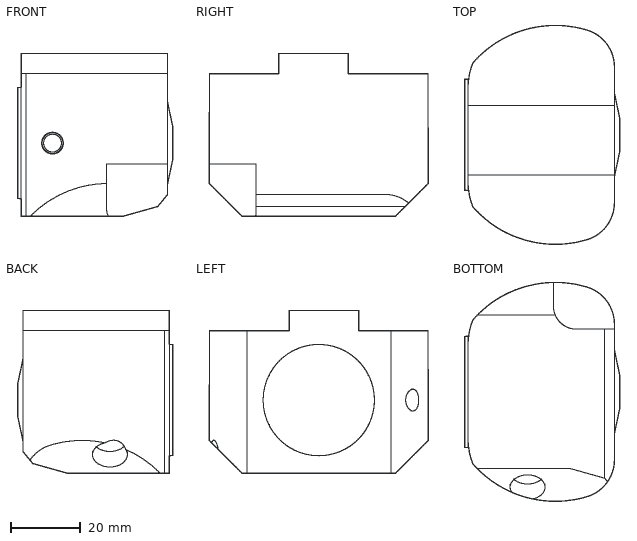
import cadquery as cq
import math

body_length = 42.1
body_width = 63.0
body_height = 41.0
axis_z = 21.05

side_radius = body_width / 2
side_center_x = 25.1
corner_radius = 11.2
front_flat_half = 14.1
front_edge_radius = 17.0

tongue_width = 20.0
tongue_height = 5.8
tongue_offset_y = -1.5

disc_diameter = 32.0
disc_thickness = 1.0
boss_base_diameter = 24.0
boss_top_diameter = 9.5
boss_height = 1.5

side_bevel = 9.45
ramp_start_x = 29.35
ramp_end_x = 39.25
ramp_end_z = 2.8
nose_z = 6.25

notch_x = 24.5
notch_height = 15.0
notch_floor_y = -18.0
notch_radius = 6.6

screw_x = 9.0
screw_bore_diameter = 6.25
screw_bore_end_y = -23.9
screw_step_diameter = 6.0
screw_step_depth = 0.1
screw_cone_diameter = 5.1
screw_cone_depth = 0.95
screw_tip_diameter = 1.5
screw_tip_depth = 0.45

pocket_x = 17.1
pocket_z = 5.35
pocket_diameter = 10.0
pocket_depth = 6.3
drill_clearance = 3.15


def on_circle(center_x, center_y, radius, angle):
    """Point of a circle at an angle in radians."""
    return (center_x + radius * math.cos(angle), center_y + radius * math.sin(angle))


def plan_outline():
    """Closed plan outline, mirror symmetric about the XZ plane."""
    corner_x = body_length - corner_radius
    tangent_angle = math.acos((corner_x - side_center_x) / (side_radius - corner_radius))
    corner_y = (side_radius - corner_radius) * math.sin(tangent_angle)
    side_end = on_circle(side_center_x, 0, side_radius, tangent_angle)
    corner_mid = on_circle(corner_x, corner_y, corner_radius, tangent_angle / 2)

    gap_x = side_center_x - front_edge_radius
    gap = math.hypot(gap_x, front_flat_half)
    along = (gap**2 + front_edge_radius**2 - side_radius**2) / (2 * gap)
    turn = math.acos(along / front_edge_radius)
    meet_angle = math.atan2(-front_flat_half, gap_x) - turn + 2 * math.pi
    edge_start = on_circle(front_edge_radius, front_flat_half, front_edge_radius, meet_angle)
    edge_mid = on_circle(front_edge_radius, front_flat_half, front_edge_radius, (meet_angle + math.pi) / 2)
    side_mid = (side_center_x, side_radius)

    def mirrored(point):
        return (point[0], -point[1])

    return (
        cq.Workplane("XY")
        .moveTo(0, -front_flat_half)
        .lineTo(0, front_flat_half)
        .threePointArc(edge_mid, edge_start)
        .threePointArc(side_mid, side_end)
        .threePointArc(corner_mid, (body_length, corner_y))
        .lineTo(body_length, -corner_y)
        .threePointArc(mirrored(corner_mid), mirrored(side_end))
        .threePointArc(mirrored(side_mid), mirrored(edge_start))
        .threePointArc(mirrored(edge_mid), (0, -front_flat_half))
        .close()
    )


def tongue():
    """Rectangular rail along X, slightly off centre in Y."""
    return (
        cq.Workplane("XY", origin=(body_length / 2, tongue_offset_y, body_height))
        .rect(body_length, tongue_width)
        .extrude(tongue_height)
    )


def disc():
    """Flat round pad on the -X face."""
    return (
        cq.Workplane("YZ", origin=(0, 0, axis_z))
        .circle(disc_diameter / 2)
        .extrude(-disc_thickness)
    )


def boss():
    """Shallow truncated cone standing on the +X face."""
    return (
        cq.Workplane("XY", origin=(body_length, 0, axis_z))
        .lineTo(0, boss_base_diameter / 2)
        .lineTo(boss_height, boss_top_diameter / 2)
        .lineTo(boss_height, 0)
        .close()
        .revolve(360, (0, 0), (1, 0))
    )


def side_bevel_cut(side):
    """Wedge under the lower edge of one side (+1 or -1 in Y)."""
    edge_y = side * side_radius
    return (
        cq.Workplane("YZ")
        .polyline([(edge_y, 0), (edge_y, side_bevel), (edge_y - side * side_bevel, 0)])
        .close()
        .extrude(body_length)
    )


def nose_cut():
    """Two-slope relief under the +X end, across the full width."""
    return (
        cq.Workplane("XZ")
        .polyline([(ramp_start_x, 0), (ramp_end_x, ramp_end_z), (body_length, nose_z), (body_length, 0)])
        .close()
        .extrude(side_radius, both=True)
    )


def notch_cut():
    """Notch open to -Y, +X and the base, with a rounded inner corner."""
    return (
        cq.Workplane("XY")
        .moveTo(notch_x, -side_radius)
        .lineTo(notch_x, notch_floor_y - notch_radius)
        .radiusArc((notch_x + notch_radius, notch_floor_y), notch_radius)
        .lineTo(body_length, notch_floor_y)
        .lineTo(body_length, -side_radius)
        .close()
        .extrude(notch_height)
    )


def screw_hole():
    """Hole turned about an axis along Y at the level of the disc axis."""
    step_end_y = screw_bore_end_y + screw_step_depth
    cone_end_y = step_end_y + screw_cone_depth
    tip_y = cone_end_y + screw_tip_depth
    return (
        cq.Workplane("XY", origin=(screw_x, 0, axis_z))
        .polyline([
            (0, -side_radius),
            (screw_bore_diameter / 2, -side_radius),
            (screw_bore_diameter / 2, screw_bore_end_y),
            (screw_step_diameter / 2, screw_bore_end_y),
            (screw_step_diameter / 2, step_end_y),
            (screw_cone_diameter / 2, step_end_y),
            (screw_tip_diameter / 2, cone_end_y),
            (0, tip_y),
        ])
        .close()
        .revolve(360, (0, 0), (0, 1))
    )


def pocket():
    """Blind hole drilled square to the +Y bevel."""
    center_y = side_radius - side_bevel + pocket_z
    inward = cq.Vector(0, -1, 1).normalized()
    drill = cq.Solid.makeCylinder(
        pocket_diameter / 2,
        drill_clearance + pocket_depth,
        cq.Vector(pocket_x, center_y, pocket_z) - inward * drill_clearance,
        inward,
    )
    return cq.Workplane(drill)


result = plan_outline().extrude(body_height)
result = result.union(tongue()).union(disc()).union(boss())
for side in (1, -1):
    result = result.cut(side_bevel_cut(side))
result = result.cut(nose_cut()).cut(notch_cut()).cut(screw_hole()).cut(pocket())